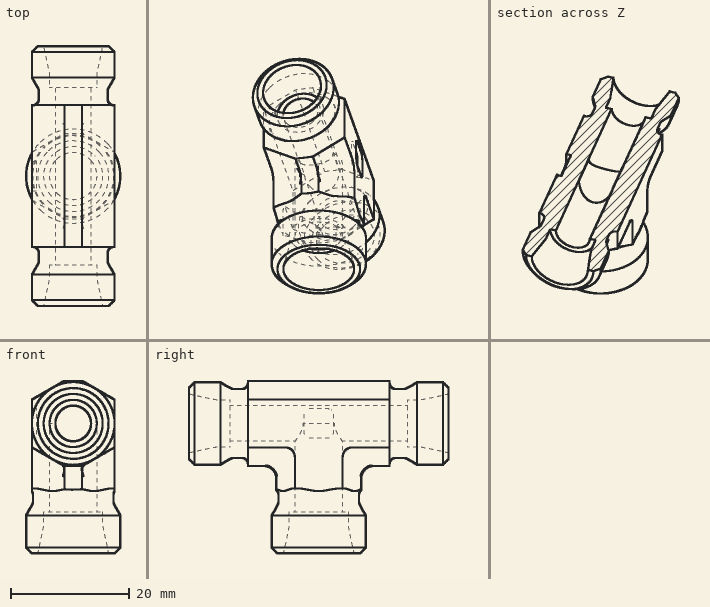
import cadquery as cq
import math

across_flats = 14.0
ridge_height = 7.22
flat_radius = across_flats / 2
flat_half_height = flat_radius / math.sqrt(3)
ridge_half_width = across_flats - ridge_height * math.sqrt(3)
run_body_half_length = 12.0
inner_corner_radius = 2.0

reach = 22.0
run_thread_diameter = 14.0
branch_thread_diameter = 16.0
branch_body_end = 11.0
neck_reduction = 2.3
neck_fillet = 1.0
flare_angle = 30.0
end_chamfer = 1.0
run_thread_length = 5.35
branch_thread_length = 6.45

run_tube_diameter = 8.0
branch_tube_diameter = 10.0
tube_wall = 1.0
mouth_growth = 1.0
seal_half_angle = 12.0
socket_depth = 7.0

recess_side = 5.0
recess_corner_radius = 1.0
recess_depth = 0.8


def place_on_run(shape, side):
    """Turn a shape built along +Z so that it points along +Y (side=1) or -Y (side=-1)."""
    return shape.rotate((0, 0, 0), (1, 0, 0), -90 * side)


def place_on_branch(shape):
    """Turn a shape built along +Z so that it points along -Z."""
    return shape.rotate((0, 0, 0), (1, 0, 0), 180)


def hex_bar(length):
    """Hexagonal bar along +Z, flats at +-X and ridges at +-Y cut flat."""
    corners = [
        (flat_radius, flat_half_height),
        (ridge_half_width, ridge_height),
        (-ridge_half_width, ridge_height),
        (-flat_radius, flat_half_height),
        (-flat_radius, -flat_half_height),
        (-ridge_half_width, -ridge_height),
        (ridge_half_width, -ridge_height),
        (flat_radius, -flat_half_height),
    ]
    return cq.Workplane("XY").polyline(corners).close().extrude(length)


def revolve_profile(profile):
    """Close a profile drawn in radius (X) and axial distance (Y), spin it, and stand it along +Z."""
    return profile.close().revolve(360, (0, 0, 0), (0, 1, 0)).rotate((0, 0, 0), (1, 0, 0), 90)


def threaded_end(thread_diameter, thread_length, shoulder):
    """Neck, flare, thread cylinder and end chamfer, along +Z from the tee centre."""
    thread_radius = thread_diameter / 2
    neck_radius = thread_radius - neck_reduction / 2
    flare_end = reach - thread_length
    flare = math.radians(flare_angle)
    flare_start = flare_end - (thread_radius - neck_radius) / math.tan(flare)
    blend_tangent = neck_fillet * math.tan(flare / 2)
    blend_start = flare_start - blend_tangent
    blend_mid_radius = neck_radius + neck_fillet * (1 - math.cos(flare / 2))
    blend_mid = blend_start + neck_fillet * math.sin(flare / 2)
    blend_end_radius = neck_radius + blend_tangent * math.sin(flare)
    blend_end = flare_start + blend_tangent * math.cos(flare)
    profile = (
        cq.Workplane("XY")
        .moveTo(0, shoulder)
        .lineTo(neck_radius, shoulder)
        .lineTo(neck_radius, blend_start)
        .threePointArc((blend_mid_radius, blend_mid), (blend_end_radius, blend_end))
        .lineTo(thread_radius, flare_end)
        .lineTo(thread_radius, reach - end_chamfer)
        .lineTo(thread_radius - end_chamfer, reach)
        .lineTo(0, reach)
    )
    return revolve_profile(profile)


def turned_bar(thread_diameter, shoulder):
    """Hexagonal bar from the tee centre, its end turned down to the neck with a fillet, along +Z."""
    neck_radius = (thread_diameter - neck_reduction) / 2
    neck_start = shoulder + neck_fillet
    fillet_mid = neck_fillet * (1 - math.sqrt(0.5))
    removed_ring = (
        cq.Workplane("XY")
        .moveTo(neck_radius, neck_start)
        .threePointArc((neck_radius + fillet_mid, shoulder + fillet_mid), (neck_radius + neck_fillet, shoulder))
        .lineTo(across_flats, shoulder)
        .lineTo(across_flats, neck_start)
    )
    return hex_bar(neck_start).cut(revolve_profile(removed_ring))


def tube_bore(tube_diameter):
    """Bore from the tee centre, tube socket and sealing cone, along +Z."""
    tube_radius = tube_diameter / 2
    bore_radius = tube_radius - tube_wall
    cone_start = reach - mouth_growth / math.tan(math.radians(seal_half_angle))
    profile = (
        cq.Workplane("XY")
        .lineTo(bore_radius, 0)
        .lineTo(bore_radius, reach - socket_depth)
        .lineTo(tube_radius, reach - socket_depth)
        .lineTo(tube_radius, cone_start)
        .lineTo(tube_radius + mouth_growth, reach)
        .lineTo(0, reach)
    )
    return revolve_profile(profile)


def tee_body():
    """Run and branch bars joined, with the inner corners between them filleted."""
    run_half = turned_bar(run_thread_diameter, run_body_half_length)
    branch = place_on_branch(turned_bar(branch_thread_diameter, branch_body_end))
    body = place_on_run(run_half, 1).union(place_on_run(run_half, -1)).union(branch)
    margin = 0.1
    for side in (1, -1):
        inner_corner = cq.selectors.BoxSelector(
            (-flat_radius, side * (flat_half_height + margin), -flat_half_height - margin),
            (flat_radius, side * (ridge_height + margin), -ridge_height - margin),
        )
        body = body.edges(inner_corner).fillet(inner_corner_radius)
    return body


def recess():
    """Shallow rounded square sunk into the -X flat, centred on the tee centre."""
    block = cq.Workplane("XY").box(recess_depth, recess_side, recess_side, centered=(False, True, True))
    return block.edges("|X").fillet(recess_corner_radius).translate((-across_flats / 2, 0, 0))


run_end = threaded_end(run_thread_diameter, run_thread_length, run_body_half_length)
run_bore = tube_bore(run_tube_diameter)
branch_end = threaded_end(branch_thread_diameter, branch_thread_length, branch_body_end)
branch_bore = tube_bore(branch_tube_diameter)

result = tee_body().union(place_on_branch(branch_end))
for side in (1, -1):
    result = result.union(place_on_run(run_end, side))
for side in (1, -1):
    result = result.cut(place_on_run(run_bore, side))
result = result.cut(place_on_branch(branch_bore)).cut(recess())